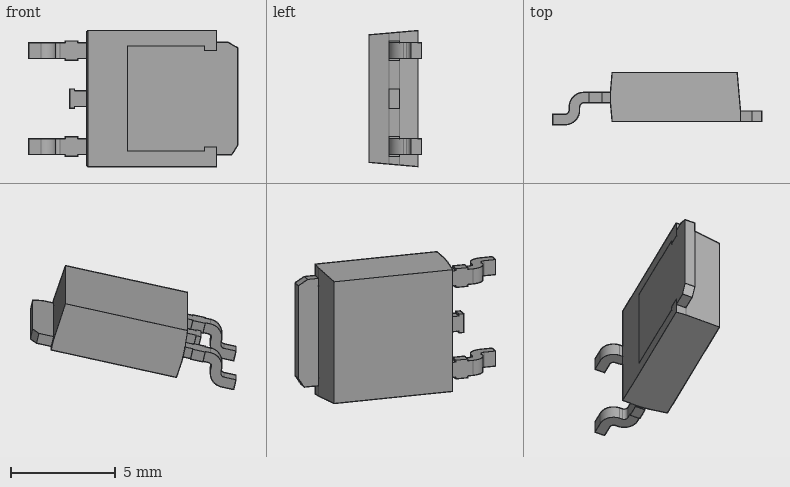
import cadquery as cq

TOTAL_LENGTH = 9.98
METAL_THICKNESS = 0.51

HOUSING_DEPTH = 2.35
HOUSING_LEFT = 2.75
LEFT_DRAFT = 0.08
HOUSING_RIGHT = 8.96
RIGHT_DRAFT = 0.16
HALF_HEIGHT_FRONT = 6.5 / 2
HALF_HEIGHT_BACK = 3.04

PAD_LEFT = 4.72
PAD_HALF_HEIGHT = 2.5
NECK_LEFT = 8.39
NECK_HALF_HEIGHT = 2.3
TAB_HALF_HEIGHT = 2.68
CORNER_LONG_LEG = 0.47
CORNER_TOP_SHORT_LEG = 0.27
CORNER_BOTTOM_SHORT_LEG = 0.3

LEAD_PITCH = 2.29
LEAD_WIDTH = 0.76
LEAD_WIDE_WIDTH = 0.94
LEAD_FRONT = 0.89
LEAD_BACK = LEAD_FRONT + METAL_THICKNESS
FOOT_FRONT = -0.16
FOOT_BACK = FOOT_FRONT + METAL_THICKNESS
RISER_LEFT = 0.79
RISER_RIGHT = RISER_LEFT + METAL_THICKNESS
BEND_INNER_RADIUS = 0.2
BEND_OUTER_RADIUS = BEND_INNER_RADIUS + METAL_THICKNESS
WIDE_LEFT = 1.75
WIDE_RIGHT = 2.36
STUB_LEFT = 1.96
STUB_WIDE_RIGHT = 2.2


def make_heat_tab():
    """Flat plate: pad, narrower neck, and wider outer tab with two unequal cut corners."""
    outline = [
        (PAD_LEFT, PAD_HALF_HEIGHT),
        (NECK_LEFT, PAD_HALF_HEIGHT),
        (NECK_LEFT, NECK_HALF_HEIGHT),
        (HOUSING_RIGHT, NECK_HALF_HEIGHT),
        (HOUSING_RIGHT, TAB_HALF_HEIGHT),
        (TOTAL_LENGTH - CORNER_LONG_LEG, TAB_HALF_HEIGHT),
        (TOTAL_LENGTH, TAB_HALF_HEIGHT - CORNER_TOP_SHORT_LEG),
        (TOTAL_LENGTH, -TAB_HALF_HEIGHT + CORNER_LONG_LEG),
        (TOTAL_LENGTH - CORNER_BOTTOM_SHORT_LEG, -TAB_HALF_HEIGHT),
        (HOUSING_RIGHT, -TAB_HALF_HEIGHT),
        (HOUSING_RIGHT, -NECK_HALF_HEIGHT),
        (NECK_LEFT, -NECK_HALF_HEIGHT),
        (NECK_LEFT, -PAD_HALF_HEIGHT),
        (PAD_LEFT, -PAD_HALF_HEIGHT),
    ]
    return cq.Workplane("XZ").polyline(outline).close().extrude(-METAL_THICKNESS)


def make_housing(heat_tab):
    """Block with drafted sides and a recess that the heat tab fills."""
    length_profile = [
        (HOUSING_LEFT + LEFT_DRAFT, 0),
        (HOUSING_RIGHT, 0),
        (HOUSING_RIGHT, METAL_THICKNESS),
        (HOUSING_RIGHT - RIGHT_DRAFT, HOUSING_DEPTH),
        (HOUSING_LEFT + LEFT_DRAFT, HOUSING_DEPTH),
        (HOUSING_LEFT, LEAD_BACK),
        (HOUSING_LEFT, LEAD_FRONT),
    ]
    height_profile = [
        (0, -HALF_HEIGHT_FRONT),
        (HOUSING_DEPTH, -HALF_HEIGHT_BACK),
        (HOUSING_DEPTH, HALF_HEIGHT_BACK),
        (0, HALF_HEIGHT_FRONT),
    ]
    block = cq.Workplane("XY").polyline(length_profile).close().extrude(HALF_HEIGHT_FRONT, both=True)
    drafted_bar = cq.Workplane("YZ").polyline(height_profile).close().extrude(TOTAL_LENGTH)
    return block.intersect(drafted_bar).cut(heat_tab)


def make_lead_bar(left, right, width):
    """Straight length of lead at the level where the leads enter the housing."""
    return cq.Workplane("XY").box(
        right - left, METAL_THICKNESS, width, centered=(False, False, True)
    ).translate((left, LEAD_FRONT, 0))


def make_formed_lead(z):
    """S-bent lead with a foot, and a wider stretch near the housing, centred on height z."""
    strip = (
        cq.Workplane("XY")
        .moveTo(0, FOOT_FRONT)
        .lineTo(RISER_RIGHT - BEND_OUTER_RADIUS, FOOT_FRONT)
        .radiusArc((RISER_RIGHT, FOOT_FRONT + BEND_OUTER_RADIUS), -BEND_OUTER_RADIUS)
        .lineTo(RISER_RIGHT, LEAD_FRONT - BEND_INNER_RADIUS)
        .radiusArc((RISER_RIGHT + BEND_INNER_RADIUS, LEAD_FRONT), BEND_INNER_RADIUS)
        .lineTo(HOUSING_LEFT, LEAD_FRONT)
        .lineTo(HOUSING_LEFT, LEAD_BACK)
        .lineTo(RISER_LEFT + BEND_OUTER_RADIUS, LEAD_BACK)
        .radiusArc((RISER_LEFT, LEAD_BACK - BEND_OUTER_RADIUS), -BEND_OUTER_RADIUS)
        .lineTo(RISER_LEFT, FOOT_BACK + BEND_INNER_RADIUS)
        .radiusArc((RISER_LEFT - BEND_INNER_RADIUS, FOOT_BACK), BEND_INNER_RADIUS)
        .lineTo(0, FOOT_BACK)
        .close()
        .extrude(LEAD_WIDTH / 2, both=True)
    )
    wide_stretch = make_lead_bar(WIDE_LEFT, WIDE_RIGHT, LEAD_WIDE_WIDTH)
    return strip.union(wide_stretch).translate((0, 0, z))


def make_stub_lead():
    """Cut-off middle lead with a wider end."""
    shank = make_lead_bar(STUB_LEFT, HOUSING_LEFT, LEAD_WIDTH)
    wide_end = make_lead_bar(STUB_LEFT, STUB_WIDE_RIGHT, LEAD_WIDE_WIDTH)
    return shank.union(wide_end)


heat_tab = make_heat_tab()
housing = make_housing(heat_tab)
stub_lead = make_stub_lead()
formed_leads = [make_formed_lead(side * LEAD_PITCH) for side in (-1, 1)]

result = cq.Compound.makeCompound([
    housing.val(),
    heat_tab.val(),
    stub_lead.val(),
    *[lead.val() for lead in formed_leads],
])